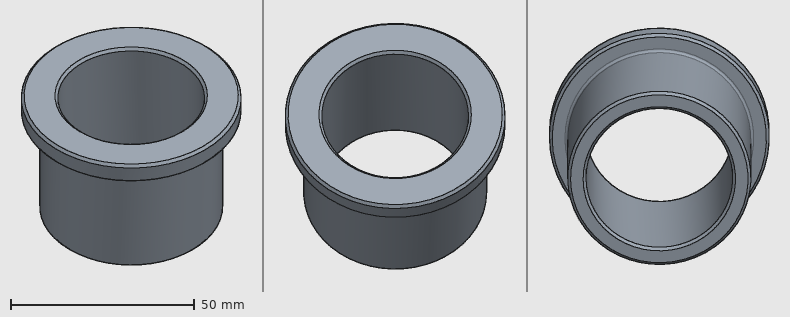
import cadquery as cq

flange_diameter = 60.0
body_diameter = 50.0
bore_diameter = 40.0
total_height = 40.0
flange_thickness = 6.0
edge_chamfer = 0.8
neck_fillet_radius = 0.8

flange_radius = flange_diameter / 2
body_radius = body_diameter / 2
bore_radius = bore_diameter / 2
flange_bottom = total_height - flange_thickness

half_section = (
    cq.Workplane("XZ")
    .moveTo(bore_radius, 0)
    .lineTo(body_radius, 0)
    .lineTo(body_radius, flange_bottom)
    .lineTo(flange_radius, flange_bottom)
    .lineTo(flange_radius, total_height)
    .lineTo(bore_radius, total_height)
    .close()
)
bushing = half_section.revolve(360, (0, 0, 0), (0, 1, 0))

flange_rims = bushing.edges(cq.selectors.RadiusNthSelector(2))
bushing = flange_rims.chamfer(edge_chamfer)
bushing = bushing.edges(cq.selectors.RadiusNthSelector(0)).chamfer(edge_chamfer)
bushing = bushing.faces("<Z").edges(cq.selectors.RadiusNthSelector(-1)).chamfer(edge_chamfer)

neck_corner = cq.selectors.NearestToPointSelector((0, 0, flange_bottom))
flange_underside = bushing.faces(neck_corner)
bushing = flange_underside.edges(cq.selectors.RadiusNthSelector(0)).fillet(neck_fillet_radius)

result = bushing